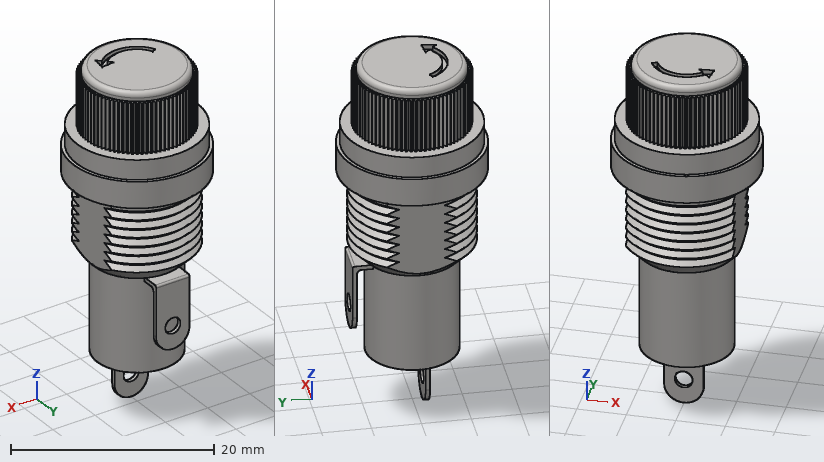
import cadquery as cq
import math

total_height = 38.3
knurl_top_z = 37.3
collar_top_z = 31.55
flange_top_z = 29.3
flange_bottom_z = 26.27
thread_top_z = 25.3
body_bottom_z = 16.78
barrel_bottom_z = 5.95

crown_radius = 5.5
crown_fillet = 0.57
knurl_radius = 5.97
knurl_root_radius = 5.6
tooth_count = 80
tooth_tip_width = 0.107

arrow_depth = 0.5
arrow_inner_radius = 3.0
arrow_outer_radius = 3.52
arrow_tail_angle = 205.0
arrow_neck_angle = 314.5
arrow_head_length = 1.15
arrow_head_half_width = 0.92

collar_radius = 7.12
flange_radius = 7.5
thread_radius = 6.45
thread_depth = 0.57
thread_pitch = 1.0
groove_count = 7
flat_distance = 5.4
barrel_radius = 4.7

terminal_width = 4.0
terminal_thickness = 0.45
terminal_hole_diameter = 1.8
hole_above_tip = 2.65
end_terminal_y = -1.23
side_terminal_outer_y = 6.32
side_terminal_tip_z = 8.95
bend_inner_radius = 0.45
bend_outer_radius = 0.23
terminal_embed = 0.75


def polar(radius, angle):
    """Point at an angle in degrees about the axis."""
    turn = math.radians(angle)
    return (radius * math.cos(turn), radius * math.sin(turn))


def knurled_ring():
    """Straight-knurled grip of narrow, flat-tipped teeth standing on the collar."""
    pitch = 360.0 / tooth_count
    half_tip = math.degrees(math.asin(tooth_tip_width / 2 / knurl_radius))
    points = []
    for tooth in range(tooth_count):
        root_angle = tooth * pitch
        tip_angle = root_angle + pitch / 2
        points.append(polar(knurl_root_radius, root_angle))
        points.append(polar(knurl_radius, tip_angle - half_tip))
        points.append(polar(knurl_radius, tip_angle + half_tip))
    ring = cq.Workplane("XY").workplane(offset=collar_top_z).polyline(points).close()
    return ring.extrude(knurl_top_z - collar_top_z)


def arrow_recess():
    """Curved arrow sunk into the top of the crown."""
    middle_radius = (arrow_inner_radius + arrow_outer_radius) / 2
    middle_angle = (arrow_tail_angle + arrow_neck_angle) / 2
    neck_x, neck_y = polar(middle_radius, arrow_neck_angle)
    heading = math.radians(arrow_neck_angle + 90)
    tip = (neck_x + arrow_head_length * math.cos(heading), neck_y + arrow_head_length * math.sin(heading))
    inner_barb = polar(middle_radius - arrow_head_half_width, arrow_neck_angle)
    outer_barb = polar(middle_radius + arrow_head_half_width, arrow_neck_angle)

    outline = (
        cq.Workplane("XY")
        .workplane(offset=total_height - arrow_depth)
        .moveTo(*polar(arrow_inner_radius, arrow_tail_angle))
        .threePointArc(
            polar(arrow_inner_radius, middle_angle),
            polar(arrow_inner_radius, arrow_neck_angle),
        )
        .lineTo(*inner_barb)
        .lineTo(*tip)
        .lineTo(*outer_barb)
        .lineTo(*polar(arrow_outer_radius, arrow_neck_angle))
        .threePointArc(
            polar(arrow_outer_radius, middle_angle),
            polar(arrow_outer_radius, arrow_tail_angle),
        )
        .close()
    )
    return outline.extrude(arrow_depth)


def make_knob():
    """Knurled knob with a rounded crown."""
    crown = (
        cq.Workplane("XY")
        .workplane(offset=collar_top_z)
        .circle(crown_radius)
        .extrude(total_height - collar_top_z)
        .faces(">Z")
        .edges()
        .fillet(crown_fillet)
    )
    return crown.union(knurled_ring()).cut(arrow_recess())


def threaded_body():
    """Neck with ring-shaped thread grooves, a 45-degree lower end and two side flats."""
    thread_bottom_z = thread_top_z - groove_count * thread_pitch
    end_radius = thread_radius - (thread_bottom_z - body_bottom_z)
    points = [(0, flange_bottom_z), (thread_radius, flange_bottom_z), (thread_radius, thread_top_z)]
    for groove in range(groove_count):
        groove_top_z = thread_top_z - groove * thread_pitch
        points.append((thread_radius - thread_depth, groove_top_z - thread_pitch / 2))
        points.append((thread_radius, groove_top_z - thread_pitch))
    points += [(end_radius, body_bottom_z), (0, body_bottom_z)]
    body = cq.Workplane("XZ").polyline(points).close().revolve(360, (0, 0), (0, 1))

    flats = (
        cq.Workplane("XY")
        .workplane(offset=body_bottom_z)
        .rect(2 * flat_distance, 2 * flange_radius)
        .extrude(flange_bottom_z - body_bottom_z)
    )
    return body.intersect(flats)


def disc(radius, bottom_z, top_z):
    """Plain round section of the holder."""
    return cq.Workplane("XY").workplane(offset=bottom_z).circle(radius).extrude(top_z - bottom_z)


def terminal_blade(middle_y, tip_z, top_z):
    """Upright blade with a round lower end and a wire hole."""
    half_width = terminal_width / 2
    front_face = cq.Workplane("XZ", origin=(0, middle_y + terminal_thickness / 2, 0))
    blade = (
        front_face
        .moveTo(-half_width, top_z)
        .lineTo(-half_width, tip_z + half_width)
        .threePointArc((0, tip_z), (half_width, tip_z + half_width))
        .lineTo(half_width, top_z)
        .close()
        .extrude(terminal_thickness)
    )
    hole = (
        front_face
        .center(0, tip_z + hole_above_tip)
        .circle(terminal_hole_diameter / 2)
        .extrude(terminal_thickness)
    )
    return blade.cut(hole)


def side_terminal():
    """Terminal that leaves the barrel under the threaded body and bends down."""
    inner_y = side_terminal_outer_y - terminal_thickness
    arm_bottom_z = body_bottom_z - terminal_thickness
    bend_bottom_z = arm_bottom_z - bend_inner_radius
    diagonal = math.sqrt(0.5)
    bend_start_y = inner_y - bend_inner_radius
    outer_start_y = side_terminal_outer_y - bend_outer_radius
    outer_start_z = body_bottom_z - bend_outer_radius
    arm_start_y = math.sqrt(barrel_radius**2 - (terminal_width / 2) ** 2) - terminal_embed
    arm = (
        cq.Workplane("YZ", origin=(-terminal_width / 2, 0, 0))
        .moveTo(arm_start_y, body_bottom_z)
        .lineTo(outer_start_y, body_bottom_z)
        .threePointArc(
            (outer_start_y + bend_outer_radius * diagonal, outer_start_z + bend_outer_radius * diagonal),
            (side_terminal_outer_y, outer_start_z),
        )
        .lineTo(side_terminal_outer_y, bend_bottom_z)
        .lineTo(inner_y, bend_bottom_z)
        .threePointArc(
            (bend_start_y + bend_inner_radius * diagonal, bend_bottom_z + bend_inner_radius * diagonal),
            (bend_start_y, arm_bottom_z),
        )
        .lineTo(arm_start_y, arm_bottom_z)
        .close()
        .extrude(terminal_width)
    )
    blade_y = side_terminal_outer_y - terminal_thickness / 2
    return arm.union(terminal_blade(blade_y, side_terminal_tip_z, bend_bottom_z))


def make_holder():
    """Flanged fuse holder with its threaded body, barrel and two terminals."""
    collar = disc(collar_radius, flange_top_z, collar_top_z)
    flange = disc(flange_radius, flange_bottom_z, flange_top_z)
    barrel = disc(barrel_radius, barrel_bottom_z, body_bottom_z)
    end_terminal = terminal_blade(end_terminal_y, 0.0, barrel_bottom_z + terminal_embed)
    holder = collar.union(flange).union(threaded_body()).union(barrel)
    return holder.union(end_terminal).union(side_terminal())


knob = make_knob()
holder = make_holder()

result = cq.Compound.makeCompound([knob.val(), holder.val()])